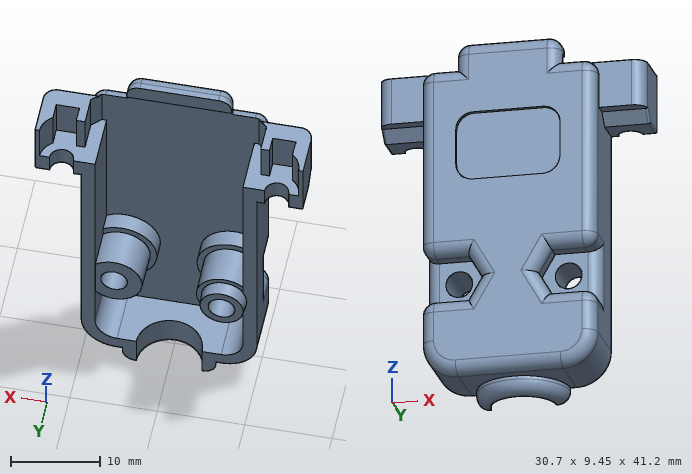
import cadquery as cq
import math


body_width = 20.1
body_height = 36.3
body_depth = 8.0
edge_radius = 1.5
bottom_corner_radius = 4.0
floor_thickness = 1.5
wall_thickness = 1.6
end_wall_thickness = 1.5

tab_width = 12.0
tab_height = 3.0
tab_lip_thickness = 2.25
tab_lip_length = 1.9

label_width = 12.0
label_height = 8.0
label_bottom = 22.9
label_corner_radius = 2.0
label_depth = 0.5

screw_x = 6.3
screw_z = 11.55
screw_hole_diameter = 3.05
nut_across_flats = 5.3
nut_floor_y = -5.0
post_base_radius = 4.0
post_base_y = -4.5
post_bottom_radius = 3.25
post_top_radius = 3.18
post_top_y = -0.1
pin_bottom_radius = 2.6
pin_top_radius = 2.46
pin_top_y = 1.45

ear_span = 30.65
ear_depth = 6.15
ear_height = 6.75
ear_step = 1.35
ear_bottom_round = 0.25
ear_screw_x = 12.3
ear_screw_radius = 1.37
head_pocket_radius = 2.5
slot_depth = 4.5
slot_floor_y = -4.0
slot_inner_x = 11.05
slot_outer_x = 13.7
leg_top_y = -2.2
mouth_chamfer = 1.05

cable_radius = 3.75
collar_radius = 5.35
collar_length = 1.9
collar_round = 1.5

margin = 1.0
fine_margin = 0.1

half_width = body_width / 2
floor_y = floor_thickness - body_depth
inner_half_width = half_width - wall_thickness
top_z = body_height + tab_height
slot_bottom = body_height - slot_depth
lip_y = tab_lip_thickness - body_depth


def box(x0, x1, y0, y1, z0, z1):
    """Box given by its limits along each axis."""
    return cq.Workplane("XY").box(x1 - x0, y1 - y0, z1 - z0, centered=False).translate((x0, y0, z0))


def rod(radius, x, z, y0, y1, end_radius=None):
    """Round post along Y, tapering to end_radius when given."""
    start = cq.Workplane("XZ", origin=(x, y0, z)).circle(radius)
    if end_radius is None:
        return start.extrude(y0 - y1)
    return start.workplane(offset=y0 - y1).circle(end_radius).loft()


def upright(radius, x, z0, z1):
    """Cylinder along Z with its axis on the parting plane."""
    return cq.Workplane("XY", origin=(x, 0, z0)).circle(radius).extrude(z1 - z0)


def both_sides(solid):
    """The solid together with its mirror image across X = 0."""
    return solid.union(solid.mirror("YZ"))


def nut_recess():
    """Hexagonal nut pocket on the -X side, open to the outer face and to the side."""
    half_flats = nut_across_flats / 2
    half_edge = half_flats / math.sqrt(3)
    side_x = -half_width - edge_radius
    outline = [
        (side_x, screw_z - half_flats),
        (half_edge - screw_x, screw_z - half_flats),
        (2 * half_edge - screw_x, screw_z),
        (half_edge - screw_x, screw_z + half_flats),
        (side_x, screw_z + half_flats),
    ]
    return cq.Workplane("XZ", origin=(0, nut_floor_y, 0)).polyline(outline).close().extrude(body_depth)


def outer_block():
    """Solid outer form with nut recesses, every outer edge rounded."""
    body = box(-half_width, half_width, -body_depth, 0, 0, body_height)
    body = body.edges("|Y and <Z").fillet(bottom_corner_radius)
    body = body.edges("|Y and >Z").fillet(edge_radius)
    tab = box(-tab_width / 2, tab_width / 2, -body_depth, 0, body_height - edge_radius, top_z)
    tab = tab.edges("|Y and >Z").fillet(edge_radius)
    block = body.union(tab).cut(both_sides(nut_recess()))
    reach = nut_across_flats
    near_recess = cq.selectors.BoxSelector(
        (-body_width, -body_depth - margin, screw_z - reach),
        (body_width, nut_floor_y + margin, screw_z + reach),
    )
    side_edges = block.faces("<X or >X").edges(near_recess)
    return block.faces("<Y").edges().add(side_edges).fillet(edge_radius)


def cavity():
    """Inside of the shell, open toward the parting plane and the connector end."""
    main = box(-inner_half_width, inner_half_width, floor_y, margin, end_wall_thickness, top_z + margin)
    main = main.edges("|Y and <Z").fillet(bottom_corner_radius - end_wall_thickness)
    mouth = box(-half_width, half_width, floor_y, margin, slot_bottom, top_z + margin)
    mouth = mouth.edges("|Z and <Y").chamfer(mouth_chamfer)
    space = main.union(mouth)
    lip = box(
        -half_width,
        half_width,
        -body_depth,
        lip_y,
        top_z - tab_lip_length,
        top_z + margin,
    )
    return space.cut(lip)


def ear():
    """Solid block of the -X ear, with the corner toward the outer face stepped up."""
    bottom = body_height - ear_height
    step_y = edge_radius - ear_depth
    outline = [
        (0, bottom),
        (step_y + ear_step, bottom),
        (step_y, bottom + ear_step),
        (-ear_depth, bottom + ear_step),
        (-ear_depth, body_height),
        (0, body_height),
    ]
    length = ear_span / 2 - inner_half_width
    block = cq.Workplane("YZ", origin=(-ear_span / 2, 0, 0)).polyline(outline).close().extrude(length)
    block = block.edges("|Z and <X and <Y").fillet(edge_radius)
    low_edges = cq.selectors.BoxSelector(
        (-ear_span / 2 - margin, step_y + fine_margin, bottom - margin),
        (-ear_span / 2 + fine_margin, margin, bottom + ear_step),
    )
    return block.edges(low_edges).edges("not |Z").fillet(ear_bottom_round)


def ear_slot():
    """Flange slot, screw head pocket and screw notch of the -X ear."""
    slot = box(-slot_outer_x, -slot_inner_x, slot_floor_y, margin, slot_bottom, top_z)
    passage = box(-ear_screw_x, -inner_half_width, leg_top_y, margin, slot_bottom, top_z)
    pocket = upright(head_pocket_radius, -ear_screw_x, slot_bottom, top_z)
    pocket = pocket.intersect(box(-ear_span, -ear_screw_x, -ear_depth, margin, 0, top_z))
    notch = upright(ear_screw_radius, -ear_screw_x, 0, top_z)
    return slot.union(passage).union(pocket).union(notch)


def screw_post():
    """Post on the -X side carrying the screw, with a wide base over the nut recess."""
    base = rod(post_base_radius, -screw_x, screw_z, floor_y, post_base_y).cut(nut_recess())
    post = rod(post_bottom_radius, -screw_x, screw_z, post_base_y, post_top_y, post_top_radius)
    inside = box(-inner_half_width, 0, -body_depth, 0, 0, body_height)
    return base.union(post).intersect(inside)


def locating_pin():
    """Pin on the -X post that enters the mating half."""
    return rod(pin_bottom_radius, -screw_x, screw_z, post_top_y, pin_top_y, pin_top_radius)


def cable_collar():
    """Half-round collar around the cable hole."""
    collar = upright(collar_radius, 0, -collar_length, end_wall_thickness)
    collar = collar.faces("<Z").edges().fillet(collar_round)
    return collar.intersect(box(-body_width, body_width, -body_depth, 0, -collar_length, end_wall_thickness))


def label_recess():
    """Shallow rounded rectangle in the outer face."""
    pocket = box(
        -label_width / 2,
        label_width / 2,
        -body_depth - margin,
        label_depth - body_depth,
        label_bottom,
        label_bottom + label_height,
    )
    return pocket.edges("|Y").fillet(label_corner_radius)


shell = outer_block().union(both_sides(ear())).cut(cavity())
shell = shell.cut(box(-half_width, half_width, lip_y, margin, body_height, top_z))
shell = shell.cut(both_sides(ear_slot())).cut(label_recess())
shell = shell.union(both_sides(screw_post())).union(locating_pin()).union(cable_collar())

cable_hole = upright(cable_radius, 0, -collar_length, end_wall_thickness + margin)
screw_hole = rod(screw_hole_diameter / 2, -screw_x, screw_z, -body_depth, pin_top_y)
result = shell.cut(cable_hole).cut(both_sides(screw_hole))